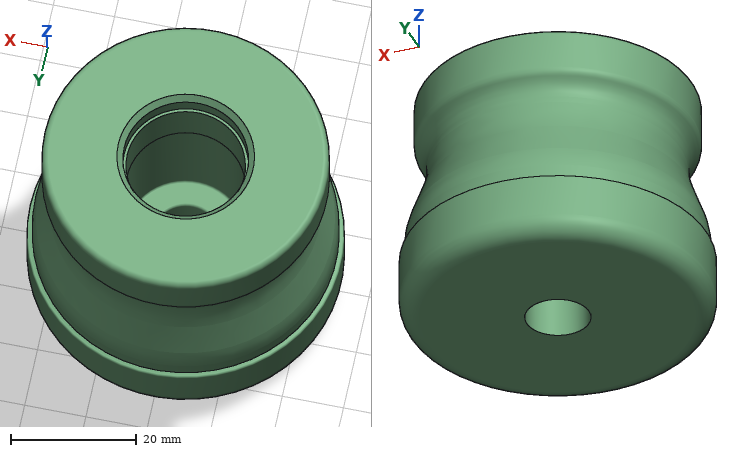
import cadquery as cq
import math

total_height = 40.0
flange_radius = 23.0
flange_edge_fillet = 1.0
flange_straight_bottom = 32.8
flange_lower_fillet = 1.75
neck_radius = 21.0
neck_top = 28.45
neck_bottom = 27.4
waist_arc_radius = 15.0
cone_angle = math.radians(20)
shoulder_radius = 24.55
shoulder_arc_radius = 10.5
shoulder_top = 13.15

mouth_radius = 10.05
mouth_chamfer = 0.95
mouth_floor = 36.5
bore_radius = 9.55

base_radius = 25.4
base_bottom_fillet = 3.2
rim_height = 10.72
rim_fillet = 0.35
rim_slope = math.radians(12.5)
seat_height = 10.0
spigot_radius = 12.0
spigot_top = 28.5
spigot_floor = seat_height
spigot_floor_fillet = 0.35
screw_hole_radius = 5.3
screw_hole_fillet = 0.4


def point_on_arc(center, radius, angle):
    """Point (r, z) at an angle measured from the outward radial direction."""
    return (center[0] + radius * math.cos(angle), center[1] + radius * math.sin(angle))


def make_knob():
    flange_center = (flange_radius - flange_lower_fillet, flange_straight_bottom)
    neck_overhang = flange_radius - neck_radius
    throat_drop = flange_straight_bottom - neck_top
    center_distance = (neck_overhang**2 + throat_drop**2) / (2 * neck_overhang)
    throat_radius = center_distance - flange_lower_fillet
    throat_center = (neck_radius + throat_radius, neck_top)
    throat_angle = math.asin(throat_drop / center_distance)

    waist_center = (neck_radius + waist_arc_radius, neck_bottom)
    shoulder_center = (shoulder_radius - shoulder_arc_radius, shoulder_top)

    profile = (
        cq.Workplane("XZ")
        .moveTo(spigot_radius, seat_height)
        .lineTo(shoulder_radius, seat_height)
        .lineTo(shoulder_radius, shoulder_top)
        .threePointArc(
            point_on_arc(shoulder_center, shoulder_arc_radius, cone_angle / 2),
            point_on_arc(shoulder_center, shoulder_arc_radius, cone_angle),
        )
        .lineTo(*point_on_arc(waist_center, waist_arc_radius, math.pi + cone_angle))
        .threePointArc(
            point_on_arc(waist_center, waist_arc_radius, math.pi + cone_angle / 2),
            (neck_radius, neck_bottom),
        )
        .lineTo(neck_radius, neck_top)
        .threePointArc(
            point_on_arc(throat_center, throat_radius, math.pi - throat_angle / 2),
            point_on_arc(throat_center, throat_radius, math.pi - throat_angle),
        )
        .threePointArc(
            point_on_arc(flange_center, flange_lower_fillet, -throat_angle / 2),
            (flange_radius, flange_straight_bottom),
        )
        .lineTo(flange_radius, total_height - flange_edge_fillet)
        .threePointArc(
            point_on_arc(
                (flange_radius - flange_edge_fillet, total_height - flange_edge_fillet),
                flange_edge_fillet,
                math.pi / 4,
            ),
            (flange_radius - flange_edge_fillet, total_height),
        )
        .lineTo(mouth_radius + mouth_chamfer, total_height)
        .lineTo(mouth_radius, total_height - mouth_chamfer)
        .lineTo(mouth_radius, mouth_floor)
        .lineTo(bore_radius, mouth_floor)
        .lineTo(bore_radius, spigot_top)
        .lineTo(spigot_radius, spigot_top)
        .close()
    )
    return profile.revolve(360, (0, 0, 0), (0, 1, 0))


def make_base():
    rim_edge_radius = base_radius - rim_fillet
    lip_height = rim_height + (rim_edge_radius - shoulder_radius) * math.tan(rim_slope)
    bottom_fillet_center = (base_radius - base_bottom_fillet, base_bottom_fillet)
    rim_fillet_center = (rim_edge_radius, rim_height - rim_fillet)
    floor_fillet_center = (bore_radius - spigot_floor_fillet, spigot_floor + spigot_floor_fillet)
    hole_fillet_center = (screw_hole_radius + screw_hole_fillet, spigot_floor - screw_hole_fillet)

    profile = (
        cq.Workplane("XZ")
        .moveTo(screw_hole_radius, 0)
        .lineTo(base_radius - base_bottom_fillet, 0)
        .threePointArc(
            point_on_arc(bottom_fillet_center, base_bottom_fillet, -math.pi / 4),
            (base_radius, base_bottom_fillet),
        )
        .lineTo(base_radius, rim_height - rim_fillet)
        .threePointArc(
            point_on_arc(rim_fillet_center, rim_fillet, math.pi / 4),
            (rim_edge_radius, rim_height),
        )
        .lineTo(shoulder_radius, lip_height)
        .lineTo(shoulder_radius, seat_height)
        .lineTo(spigot_radius, seat_height)
        .lineTo(spigot_radius, spigot_top)
        .lineTo(bore_radius, spigot_top)
        .lineTo(bore_radius, spigot_floor + spigot_floor_fillet)
        .threePointArc(
            point_on_arc(floor_fillet_center, spigot_floor_fillet, -math.pi / 4),
            (bore_radius - spigot_floor_fillet, spigot_floor),
        )
        .lineTo(screw_hole_radius + screw_hole_fillet, spigot_floor)
        .threePointArc(
            point_on_arc(hole_fillet_center, screw_hole_fillet, 3 * math.pi / 4),
            (screw_hole_radius, spigot_floor - screw_hole_fillet),
        )
        .close()
    )
    return profile.revolve(360, (0, 0, 0), (0, 1, 0))


knob = make_knob()
base = make_base()

result = cq.Compound.makeCompound([knob.val(), base.val()])